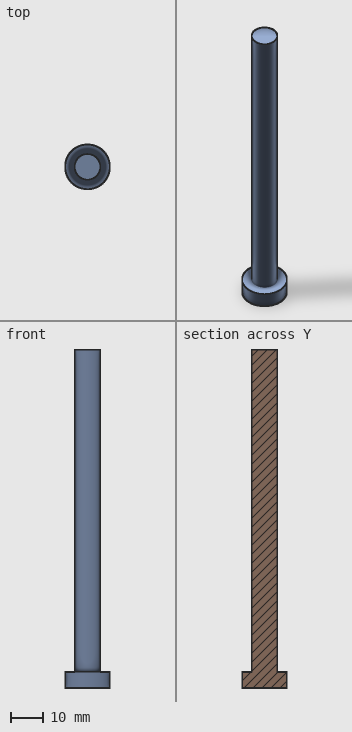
import cadquery as cq

total_length = 105.0
head_diameter = 14.0
head_height = 5.0
shaft_diameter = 8.0
root_fillet_radius = 0.2

head_radius = head_diameter / 2
shaft_radius = shaft_diameter / 2

profile = (
    cq.Workplane("XZ")
    .lineTo(head_radius, 0)
    .lineTo(head_radius, head_height)
    .lineTo(shaft_radius + root_fillet_radius, head_height)
    .radiusArc((shaft_radius, head_height + root_fillet_radius), root_fillet_radius)
    .lineTo(shaft_radius, total_length)
    .lineTo(0, total_length)
    .close()
)

result = profile.revolve(360, (0, 0, 0), (0, 1, 0))